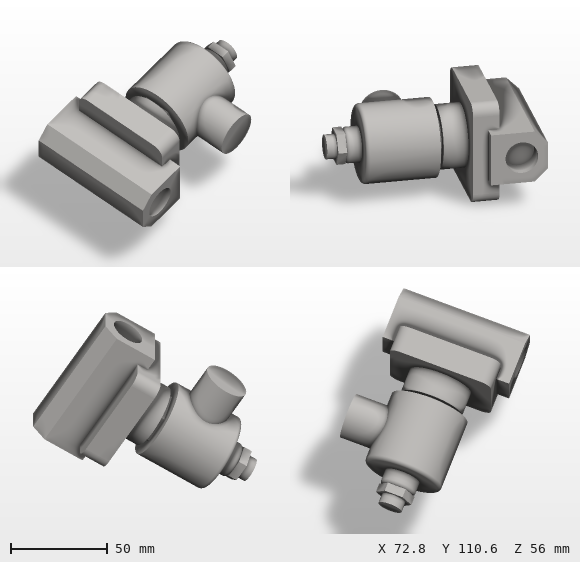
import cadquery as cq
import math


BLOCK_LENGTH = 70.0
BLOCK_DEPTH = 30.2
BLOCK_HEIGHT = 28.3
BLOCK_CHAMFER = 7.0
PORT_DIAMETER = 17.3
PORT_DEPTH = 10.0
PORT_Y = 13.8

FLANGE_SIDE = 56.0
FLANGE_THICKNESS = 14.0
FLANGE_CORNER_RADIUS = 6.0
FLANGE_FRONT_Y = 24.1
NECK_DIAMETER = 34.1
NECK_LENGTH = 13.0

COLLAR_ACROSS_FLATS = 25.5
RELIEF_LENGTH = 0.5
COLLAR_LENGTH = 1.8

COIL_DIAMETER = 42.0
COIL_LENGTH = 39.3
COIL_FILLET = 2.0
CONDUIT_DIAMETER = 24.0
CONDUIT_REACH = 37.8
CONDUIT_Y = 72.3

BOSS_DIAMETER = 19.0
BOSS_LENGTH = 8.0
BOSS_FILLET = 2.0
NUT_ACROSS_FLATS = 17.0
NUT_LENGTH = 4.6
STEM_DIAMETER = 12.9
OVERALL_LENGTH = 110.6

FLANGE_BACK_Y = FLANGE_FRONT_Y + FLANGE_THICKNESS
NECK_END_Y = FLANGE_BACK_Y + NECK_LENGTH
COLLAR_Y = NECK_END_Y + RELIEF_LENGTH
COIL_Y = COLLAR_Y + COLLAR_LENGTH
BOSS_Y = COIL_Y + COIL_LENGTH
NUT_Y = BOSS_Y + BOSS_LENGTH
STEM_Y = NUT_Y + NUT_LENGTH


def section_at(y):
    """Workplane across the main axis; a negative extrusion runs toward +Y."""
    return cq.Workplane("XZ", origin=(0, y, 0))


def cylinder(y, diameter, length):
    return section_at(y).circle(diameter / 2).extrude(-length)


def hexagon(y, across_flats, length):
    """Hexagonal prism with two of its corners on the X axis."""
    across_corners = across_flats / math.cos(math.pi / 6)
    return section_at(y).polygon(6, across_corners).extrude(-length)


def make_flow_block():
    block = cq.Workplane("XY").box(BLOCK_LENGTH, BLOCK_DEPTH, BLOCK_HEIGHT, centered=(True, False, True))
    return block.faces("<Y").edges("|X").chamfer(BLOCK_CHAMFER)


def make_port(side):
    """Cutter for the blind port in one end of the block; side is -1 or +1."""
    floor_x = side * (BLOCK_LENGTH / 2 - PORT_DEPTH)
    port = cq.Workplane("YZ", origin=(floor_x, PORT_Y, 0)).circle(PORT_DIAMETER / 2)
    return port.extrude(side * PORT_DEPTH)


def make_flange():
    flange = section_at(FLANGE_FRONT_Y).rect(FLANGE_SIDE, FLANGE_SIDE).extrude(-FLANGE_THICKNESS)
    return flange.edges("|Y").fillet(FLANGE_CORNER_RADIUS)


def make_valve_body():
    neck = cylinder(FLANGE_BACK_Y, NECK_DIAMETER, NECK_LENGTH)
    body = make_flow_block().union(make_flange()).union(neck)
    for side in (-1, 1):
        body = body.cut(make_port(side))
    return body


def make_solenoid():
    relief = cylinder(NECK_END_Y, COLLAR_ACROSS_FLATS, RELIEF_LENGTH)
    collar = hexagon(COLLAR_Y, COLLAR_ACROSS_FLATS, COLLAR_LENGTH)
    coil = cylinder(COIL_Y, COIL_DIAMETER, COIL_LENGTH).faces(">Y").edges().fillet(COIL_FILLET)
    conduit = (
        cq.Workplane("YZ", origin=(0, CONDUIT_Y, 0))
        .circle(CONDUIT_DIAMETER / 2)
        .extrude(CONDUIT_REACH)
    )
    boss = cylinder(BOSS_Y, BOSS_DIAMETER, BOSS_LENGTH).faces(">Y").edges().fillet(BOSS_FILLET)
    nut = hexagon(NUT_Y, NUT_ACROSS_FLATS, NUT_LENGTH)
    stem = cylinder(STEM_Y, STEM_DIAMETER, OVERALL_LENGTH - STEM_Y)

    solenoid = coil
    for piece in (conduit, collar, relief, boss, nut, stem):
        solenoid = solenoid.union(piece)
    return solenoid


valve_body = make_valve_body()
solenoid = make_solenoid()

result = cq.Compound.makeCompound([valve_body.val(), solenoid.val()])